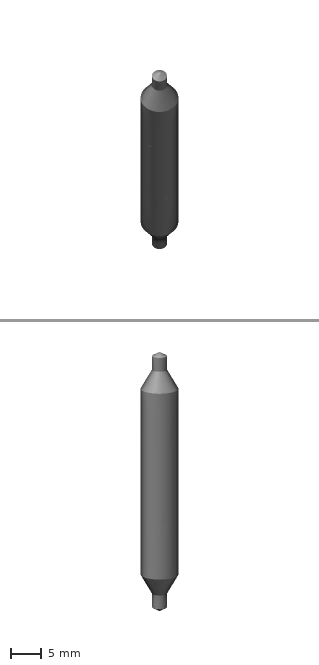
import cadquery as cq
import math

overall_length = 44.96
shank_diameter = 6.3
pilot_diameter = 2.5
pilot_length = 3.1
point_angle = 120.0
countersink_angle = 60.0
end_shank_length = 9.5

shank_radius = shank_diameter / 2
pilot_radius = pilot_diameter / 2
point_height = pilot_radius / math.tan(math.radians(point_angle / 2))
countersink_height = (shank_radius - pilot_radius) / math.tan(math.radians(countersink_angle / 2))

tip_z = overall_length / 2
point_base_z = tip_z - point_height
countersink_top_z = tip_z - pilot_length
shank_top_z = countersink_top_z - countersink_height
joint_z = shank_top_z - end_shank_length


def make_middle_shank():
    """Plain cylinder between the two joints."""
    return cq.Workplane("XY").workplane(offset=-joint_z).circle(shank_radius).extrude(2 * joint_z)


def make_drill_end(side):
    """Pointed end above (side = 1) or below (side = -1) the middle shank."""
    half_profile = [
        (0, side * joint_z),
        (shank_radius, side * joint_z),
        (shank_radius, side * shank_top_z),
        (pilot_radius, side * countersink_top_z),
        (pilot_radius, side * point_base_z),
        (0, side * tip_z),
    ]
    axis_start = (0, 0)
    axis_end = (0, 1)
    return cq.Workplane("YZ").polyline(half_profile).close().revolve(360, axis_start, axis_end)


middle_shank = make_middle_shank()
drill_ends = [make_drill_end(side) for side in (1, -1)]

result = cq.Compound.makeCompound([middle_shank.val(), *[end.val() for end in drill_ends]])